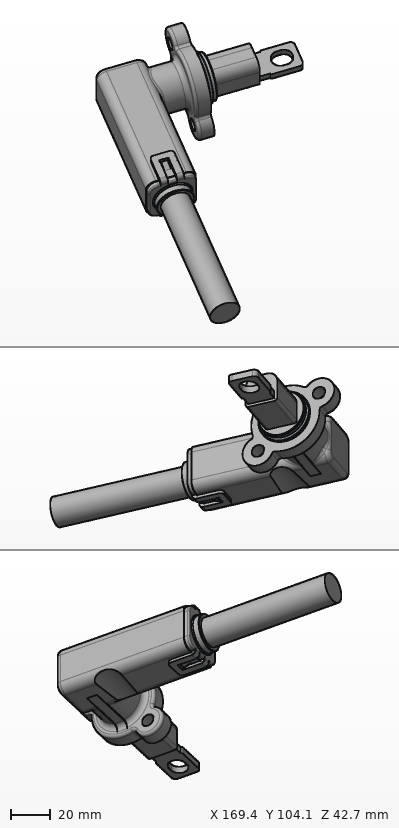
import cadquery as cq
import math


TOLERANCE = 0.02

BODY_SIZE = 26.7
BODY_LEFT = -13.2
BODY_RIGHT = 62.5
BODY_CORNER_R = 5.2
BODY_END_R = 2.7
BODY_HALF = BODY_SIZE / 2

BARREL_Z = -0.76
BARREL_R = 12.5
FLANGE_FRONT = 28.8
FLANGE_THICKNESS = 8.6
FLANGE_BACK = FLANGE_FRONT + FLANGE_THICKNESS
FLANGE_R = 18.8
FLANGE_EDGE_R = 1.7
BARREL_FLARE_R = 3.0
LUG_R = 8.5
LUG_HOLE_R = 3.4
LUG_NECK_R = 1.7
UPPER_LUG = (-18.5, 10.3 + BARREL_Z)
LOWER_LUG = (15.0, -15.4 + BARREL_Z)
LUGS = (UPPER_LUG, LOWER_LUG)

PAD_WIDTH = 5.8
PAD_DROP = 0.2
PAD_BOTTOM = BARREL_Z - BARREL_R - PAD_DROP

JOINT_R = 1.7

RELIEF_Z = -22.9
RELIEF_FRONT_R = 12.4
RELIEF_BACK_R = 11.0

COLLAR_R = 12.9
COLLAR_END = 42.8
COLLAR_CHAMFER = 0.5
SEAL_RIDGE_R = 0.8
SEAL_RIDGE_REACH = 13.9
SEAL_RIDGE_OFFSET = 0.7
SEAL_RIDGE_PITCH = 1.5
SEAL_RIDGE_COUNT = 2

SLEEVE_WIDTH = 17.5
SLEEVE_TOP = 8.5
SLEEVE_BOTTOM = -8.6
SLEEVE_END = 66.9
SLEEVE_TOP_R = 5.6
SLEEVE_BOTTOM_R = 1.7
BLADE_TIP = 90.7
BLADE_SHOULDER = 72.8
BLADE_WIDTH = 15.9
BLADE_NECK_WIDTH = 14.4
BLADE_THICKNESS = 3.9
BLADE_Z = -5.0
BLADE_CORNER_R = 2.4
BLADE_SHOULDER_R = 0.7
BLADE_SLOT_LENGTH = 11.3
BLADE_SLOT_WIDTH = 9.3
BLADE_SLOT_Y = 81.8

CAP_THICKNESS = 2.7
CAP_RIGHT = BODY_RIGHT + CAP_THICKNESS
CAP_SIZE = 25.7
CAP_EDGE_R = 0.8
CAP_COLLAR_R = 10.0
CAP_COLLAR_END = 69.4
CAP_COLLAR_CHAMFER = 0.3
CAP_COLLAR_FOOT = 0.7
CAP_COLLAR_FOOT_TAPER = 45
TAB_LEFT = 48.5
TAB_WIDTH = 12.7
TAB_HEIGHT = 1.9
TAB_CORNER_R = 2.0
TAB_BEND_R = 2.4
TAB_FOOT_DROP = 2.5
TAB_WINDOW_LEFT = 52.1
TAB_WINDOW_WIDTH = 4.7

LATCH_LEFT = 53.2
LATCH_LENGTH = 4.5
LATCH_WIDTH = 3.5
LATCH_HEIGHT = 1.4

CABLE_R = 8.0
CABLE_RIGHT = 142.4


def cylinder_y(x, z, radius, y_start, y_end):
    """Round bar along Y between two Y positions."""
    axis = cq.Vector(0, 1, 0)
    return cq.Workplane(cq.Solid.makeCylinder(radius, y_end - y_start, cq.Vector(x, y_start, z), axis))


def beam(size, x_start, x_end, corner_r):
    """Square bar along X with rounded long edges."""
    length = x_end - x_start
    bar = cq.Workplane("XY").box(length, size, size)
    return bar.translate(((x_start + x_end) / 2, 0, 0)).edges("|X").fillet(corner_r)


def make_body():
    body = beam(BODY_SIZE, BODY_LEFT, BODY_RIGHT, BODY_CORNER_R)
    return body.faces("<X").edges().fillet(BODY_END_R)


def barrel_distance(point):
    """Distance of a point from the barrel axis."""
    return math.hypot(point.x, point.z - BARREL_Z)


def is_neck_edge(edge):
    """True for a straight edge along Y where a lug meets the flange disc."""
    point = edge.Center()
    on_disc = abs(barrel_distance(point) - FLANGE_R) < TOLERANCE
    on_lug = any(abs(math.hypot(point.x - x, point.z - z) - LUG_R) < TOLERANCE for x, z in LUGS)
    return edge.geomType() == "LINE" and on_disc and on_lug


def is_joint_edge(edge):
    """True for an edge where the barrel surface runs into the body."""
    points = [edge.positionAt(share) for share in (0, 0.3, 0.6, 1)]
    on_barrel = all(abs(barrel_distance(point) - BARREL_R) < TOLERANCE for point in points)
    return on_barrel and all(0 < point.y < BODY_HALF + TOLERANCE for point in points)


def make_flange():
    flange = cylinder_y(0, BARREL_Z, FLANGE_R, FLANGE_FRONT, FLANGE_BACK)
    for x, z in LUGS:
        flange = flange.union(cylinder_y(x, z, LUG_R, FLANGE_FRONT, FLANGE_BACK))
    necks = [edge for edge in flange.edges().vals() if is_neck_edge(edge)]
    flange = flange.newObject(necks).fillet(LUG_NECK_R)
    flange = flange.faces("<Y").edges().fillet(FLANGE_EDGE_R)
    for x, z in LUGS:
        flange = flange.cut(cylinder_y(x, z, LUG_HOLE_R, FLANGE_FRONT, FLANGE_BACK))
    return flange


def flare_outline(plane, inner):
    """Half outline of a bar at distance `inner` from the axis that flares out to meet the flange."""
    flare_start = FLANGE_FRONT - BARREL_FLARE_R
    mid = BARREL_FLARE_R * (1 - math.sqrt(0.5))
    return (
        cq.Workplane(plane)
        .lineTo(inner, 0)
        .lineTo(inner, flare_start)
        .threePointArc((inner + mid, FLANGE_FRONT - mid), (inner + BARREL_FLARE_R, FLANGE_FRONT))
        .lineTo(0, FLANGE_FRONT)
    )


def make_barrel():
    outline = flare_outline("XY", BARREL_R).close()
    return outline.revolve(360, (0, 0, 0), (0, 1, 0)).translate((0, 0, BARREL_Z))


def make_pad():
    """Narrow flat rail under the barrel that ends in the same flare."""
    underside = cq.Plane(origin=(-PAD_WIDTH / 2, 0, 0), xDir=(0, 0, -1), normal=(1, 0, 0))
    return flare_outline(underside, -PAD_BOTTOM).close().extrude(PAD_WIDTH)


def make_relief():
    groove = cq.Solid.makeCone(
        RELIEF_FRONT_R,
        RELIEF_BACK_R,
        BODY_SIZE,
        cq.Vector(LOWER_LUG[0], -BODY_HALF, RELIEF_Z),
        cq.Vector(0, 1, 0),
    )
    return cq.Workplane(groove)


def make_collar():
    collar = cylinder_y(0, BARREL_Z, COLLAR_R, FLANGE_BACK, COLLAR_END)
    collar = collar.faces(">Y").chamfer(COLLAR_CHAMFER)
    ring_r = SEAL_RIDGE_REACH - SEAL_RIDGE_R
    for index in range(SEAL_RIDGE_COUNT):
        ridge_y = FLANGE_BACK + SEAL_RIDGE_OFFSET + index * SEAL_RIDGE_PITCH
        centre = cq.Vector(0, ridge_y, BARREL_Z)
        ridge = cq.Solid.makeTorus(ring_r, SEAL_RIDGE_R, centre, cq.Vector(0, 1, 0))
        collar = collar.union(cq.Workplane(ridge))
    return collar


def make_sleeve():
    height = SLEEVE_TOP - SLEEVE_BOTTOM
    length = SLEEVE_END - COLLAR_END
    sleeve = cq.Workplane("XY").box(SLEEVE_WIDTH, length, height)
    sleeve = sleeve.edges("|Y and >Z").fillet(SLEEVE_TOP_R)
    sleeve = sleeve.edges("|Y and <Z").fillet(SLEEVE_BOTTOM_R)
    return sleeve.translate((0, COLLAR_END + length / 2, (SLEEVE_TOP + SLEEVE_BOTTOM) / 2))


def blade_plane(y):
    """Sketch plane on the underside of the blade, centred at the given Y."""
    return cq.Workplane("XY", origin=(0, y, BLADE_Z - BLADE_THICKNESS / 2))


def make_blade():
    head_length = BLADE_TIP - BLADE_SHOULDER
    head = blade_plane(BLADE_SHOULDER + head_length / 2).rect(BLADE_WIDTH, head_length)
    head = head.extrude(BLADE_THICKNESS).edges("|Z and >Y").fillet(BLADE_CORNER_R)
    head = head.edges("|Z and <Y").fillet(BLADE_SHOULDER_R)
    neck_length = BLADE_SHOULDER - SLEEVE_END
    neck = blade_plane(SLEEVE_END + neck_length / 2).rect(BLADE_NECK_WIDTH, neck_length)
    slot = blade_plane(BLADE_SLOT_Y).slot2D(BLADE_SLOT_LENGTH, BLADE_SLOT_WIDTH, 90)
    return head.union(neck.extrude(BLADE_THICKNESS)).cut(slot.extrude(BLADE_THICKNESS))


def make_latch(side):
    """Wedge on the top (side = 1) or bottom (side = -1) of the body, sloping down toward the cap."""
    wedge = cq.Workplane("XZ", origin=(0, LATCH_WIDTH / 2, 0)).polyline([
        (LATCH_LEFT, side * (BODY_HALF - LATCH_HEIGHT)),
        (LATCH_LEFT, side * (BODY_HALF + LATCH_HEIGHT)),
        (LATCH_LEFT + LATCH_LENGTH, side * BODY_HALF),
    ])
    return wedge.close().extrude(LATCH_WIDTH)


def make_housing():
    housing = make_body().union(make_barrel())
    joint = [edge for edge in housing.edges().vals() if is_joint_edge(edge)]
    housing = housing.newObject(joint).fillet(JOINT_R)
    housing = housing.union(make_pad()).cut(make_relief())
    housing = housing.union(make_flange()).union(make_collar()).union(make_sleeve()).union(make_blade())
    for side in (1, -1):
        housing = housing.union(make_latch(side))
    return housing


def make_tab(side):
    """Latch tab lying on the top or bottom of the body, with a window open toward the cap end."""
    length = CAP_RIGHT - TAB_LEFT
    tab = cq.Workplane("XY").box(length, TAB_WIDTH, TAB_HEIGHT)
    tab = tab.edges("|Z and <X").fillet(TAB_CORNER_R)
    tab = tab.translate((TAB_LEFT + length / 2, 0, BODY_HALF + TAB_HEIGHT / 2))
    foot = cq.Workplane("XY").box(CAP_THICKNESS, TAB_WIDTH, TAB_FOOT_DROP)
    tab = tab.union(foot.translate((BODY_RIGHT + CAP_THICKNESS / 2, 0, BODY_HALF - TAB_FOOT_DROP / 2)))
    tab = tab.edges(">X and >Z").fillet(TAB_BEND_R)
    window_length = CAP_RIGHT - TAB_WINDOW_LEFT
    window = cq.Workplane("XY").box(window_length, TAB_WINDOW_WIDTH, BODY_SIZE)
    tab = tab.cut(window.translate((TAB_WINDOW_LEFT + window_length / 2, 0, BODY_HALF)))
    return tab if side > 0 else tab.mirror("XY")


def make_cap():
    cap = beam(CAP_SIZE, BODY_RIGHT, CAP_RIGHT, BODY_CORNER_R)
    cap = cap.faces(">X").edges().fillet(CAP_EDGE_R)
    for side in (1, -1):
        cap = cap.union(make_tab(side))
    collar = cq.Workplane("YZ", origin=(CAP_RIGHT, 0, 0)).circle(CAP_COLLAR_R)
    collar = collar.extrude(CAP_COLLAR_END - CAP_RIGHT).faces(">X").chamfer(CAP_COLLAR_CHAMFER)
    foot = cq.Workplane("YZ", origin=(CAP_RIGHT, 0, 0)).circle(CAP_COLLAR_R + CAP_COLLAR_FOOT)
    foot = foot.extrude(CAP_COLLAR_FOOT, taper=CAP_COLLAR_FOOT_TAPER)
    bore = cq.Workplane("YZ", origin=(BODY_RIGHT, 0, 0)).circle(CABLE_R)
    return cap.union(collar).union(foot).cut(bore.extrude(CAP_COLLAR_END - BODY_RIGHT))


def make_cable():
    cable = cq.Workplane("YZ", origin=(BODY_RIGHT, 0, 0)).circle(CABLE_R)
    return cable.extrude(CABLE_RIGHT - BODY_RIGHT)


housing = make_housing()
cap = make_cap()
cable = make_cable()

result = cq.Compound.makeCompound([housing.val(), cap.val(), cable.val()])